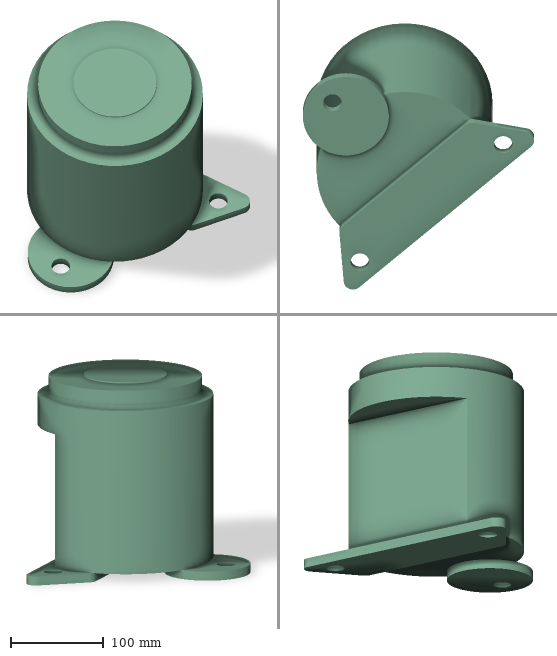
import cadquery as cq
import math

foot_thickness = 10.0
mount_hole_diameter = 20.0

rear_plate_back_y = 65.5
rear_plate_front_y = -0.3
rear_plate_overall_width = 269.63
rear_plate_corner_radius = 10.0
rear_plate_side_angle = 52.7
rear_hole_x = 104.0
rear_hole_y = 43.5

front_foot_radius = 46.5
front_foot_y = -95.0
front_hole_y = -116.5

body_radius = 95.0
body_top_z = 190.0
back_flat_y = 50.0
overhang_height = 33.5

cap_radius = 83.0
cap_height = 20.0
cap_fillet_radius = 5.0
button_radius = 45.0
button_height = 1.5
button_fillet_radius = 0.75

cap_top_z = body_top_z + cap_height


def cylinder(radius, bottom_z, top_z, y=0.0):
    """Upright cylinder on the part's centre plane."""
    return cq.Workplane("XY", origin=(0, y, bottom_z)).circle(radius).extrude(top_z - bottom_z)


def make_rear_plate():
    """Trapezoid with rounded corners, wide at the back."""
    angle = math.radians(rear_plate_side_angle)
    corner_setback = rear_plate_corner_radius * (1 / math.tan(angle / 2) - 1)
    back_half_width = rear_plate_overall_width / 2 + corner_setback
    depth = rear_plate_back_y - rear_plate_front_y
    front_half_width = back_half_width - depth / math.tan(angle)
    return (
        cq.Workplane("XY")
        .polyline([
            (-back_half_width, rear_plate_back_y),
            (back_half_width, rear_plate_back_y),
            (front_half_width, rear_plate_front_y),
            (-front_half_width, rear_plate_front_y),
        ])
        .close()
        .extrude(foot_thickness)
        .edges("|Z")
        .fillet(rear_plate_corner_radius)
    )


def make_feet():
    """Both feet with their three through holes."""
    front_foot = cylinder(front_foot_radius, 0, foot_thickness, front_foot_y)
    hole_centres = [
        (-rear_hole_x, rear_hole_y),
        (rear_hole_x, rear_hole_y),
        (0, front_hole_y),
    ]
    holes = (
        cq.Workplane("XY")
        .pushPoints(hole_centres)
        .circle(mount_hole_diameter / 2)
        .extrude(foot_thickness)
    )
    return make_rear_plate().union(front_foot).cut(holes)


def make_body():
    """Cylinder with the flat-backed recess under the rim."""
    body = cylinder(body_radius, foot_thickness, body_top_z)
    recess_depth = body_radius - back_flat_y
    recess_centre_y = back_flat_y + recess_depth / 2
    recess_height = body_top_z - overhang_height - foot_thickness
    recess = (
        cq.Workplane("XY", origin=(0, recess_centre_y, foot_thickness))
        .rect(2 * body_radius, recess_depth)
        .extrude(recess_height)
    )
    return body.cut(recess)


def flared_disc(radius, height, flare, bottom_z):
    """Revolved disc whose side flares out at the bottom in a concave fillet."""
    return (
        cq.Workplane("XZ", origin=(0, 0, bottom_z))
        .lineTo(radius + flare, 0)
        .radiusArc((radius, flare), flare)
        .lineTo(radius, height)
        .lineTo(0, height)
        .close()
        .revolve()
    )


cap = flared_disc(cap_radius, cap_height, cap_fillet_radius, body_top_z)
button = flared_disc(button_radius, button_height, button_fillet_radius, cap_top_z)

result = make_body().union(make_feet()).union(cap).union(button)